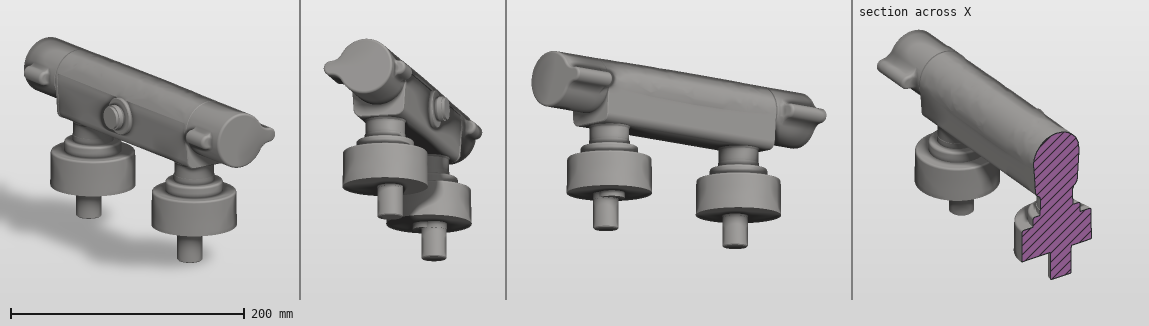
import cadquery as cq
import math

TOTAL_LENGTH = 289.2
TOTAL_DEPTH = 73.53
TOTAL_HEIGHT = 146.6
BODY_LENGTH = 194.6
KNOB_RADIUS = 24.1
BODY_MID_RADIUS = 24.8
BODY_BOTTOM_Z = -33.5
BOTTOM_Z = BODY_MID_RADIUS - TOTAL_HEIGHT
PORT_SPACING = 150.0
SHIELD_RADIUS = 36.7

HALF_LENGTH = TOTAL_LENGTH / 2
HALF_BODY = BODY_LENGTH / 2

SIDE_START_Z = -1.2
SIDE_END_HALF_WIDTH = 21.9
BODY_CORNER_RADIUS = 7.0
BODY_END_CHAMFER = 0.7

PANEL_INSET = 3.0
PANEL_TOP_Z = 7.3
PANEL_DEPTH = 0.6
PANEL_CORNER_RADIUS = 2.0

GAP_WIDTH = 1.0
GAP_DEPTH = 0.8
CORE_OVERLAP = 5.0

LEVER_TIP_Y = TOTAL_DEPTH - SHIELD_RADIUS
LEVER_TIP_RADIUS = 6.2
LEVER_LENGTH = 40.4
LEVER_END_FILLET = 2.5
LEVER_BASE_FILLET = 3.0
KNOB_EDGE = 2.0
SELECT_MARGIN = 0.1
BASE_EDGE_DEPTH = 1.0

BUTTON_X = 120.2
BUTTON_LENGTH = 25.8
BUTTON_RADIUS = 6.2
BUTTON_FRONT_Y = -32.7
BUTTON_END_FILLET = 2.5
BUTTON_BASE_FILLET = 2.0

OUTLET_Z = -8.0
OUTLET_FLANGE_RADIUS = 16.1
OUTLET_FLANGE_CHAMFER = 0.6
OUTLET_FLANGE_Y = -26.6
OUTLET_STEPS = [
    (9.4, -29.1),
    (10.6, -32.9),
    (9.4, -35.4),
]

NECK_RADIUS = 17.0
FLARE_RADIUS = 18.0
FLARE_BOTTOM_Z = -35.2
NECK_RING_RADIUS = 17.5
NECK_RING_TOP_Z = -45.8
COLLAR_RADIUS = 24.7
COLLAR_TOP_Z = -50.9
COLLAR_FILLET = 2.0
SHIELD_TOP_Z = -60.3
SHIELD_BOTTOM_Z = -91.1
SHIELD_TOP_RADIUS = 36.2
SHIELD_FILLET = 1.8
STEM_RADIUS = 10.9
STEM_Y = -4.4
STEM_CHAMFER = 0.8
STEM_COLLAR_RADIUS = 11.2
ECCENTRIC_Y = 2.9
ECCENTRIC_BOTTOM_Z = -95.9
LEFT_STEM_BOTTOM_Z = -118.1
LEFT_STEM_COLLAR_BOTTOM_Z = -92.8
RIGHT_STEM_COLLAR_BOTTOM_Z = -96.6


def x_cylinder(radius, start, length):
    return cq.Workplane("YZ").circle(radius).extrude(length).translate((start, 0, 0))


def z_cylinder(radius, x, y, top, bottom):
    return cq.Workplane("XY", origin=(x, y, bottom)).circle(radius).extrude(top - bottom)


def lower_body(half_length, inset):
    """Prism under the round top with tapered sides, set in by inset, and rounded bottom corners."""
    radius = KNOB_RADIUS - inset
    top_half_width = math.sqrt(radius ** 2 - SIDE_START_Z ** 2)
    bottom_half_width = SIDE_END_HALF_WIDTH - inset
    section = cq.Workplane("YZ", origin=(-half_length, 0, 0)).polyline([
        (top_half_width, SIDE_START_Z),
        (bottom_half_width, BODY_BOTTOM_Z),
        (-bottom_half_width, BODY_BOTTOM_Z),
        (-top_half_width, SIDE_START_Z),
    ]).close().extrude(2 * half_length)
    return section.edges("|X and <Z").fillet(BODY_CORNER_RADIUS)


def make_panel_recess():
    """Volume between the body surface and the sunk panel on the front."""
    half = HALF_BODY - PANEL_INSET
    height = PANEL_TOP_Z - BODY_BOTTOM_Z
    window = (
        cq.Workplane("XZ")
        .center(0, PANEL_TOP_Z - height / 2)
        .rect(2 * half, height)
        .extrude(2 * KNOB_RADIUS)
        .edges("|Y and >Z")
        .fillet(PANEL_CORNER_RADIUS)
    )
    floor = x_cylinder(KNOB_RADIUS - PANEL_DEPTH, -half, 2 * half)
    floor = floor.union(lower_body(half, PANEL_DEPTH))
    return window.cut(floor)


def make_body():
    shoulder_x = HALF_BODY - BODY_END_CHAMFER
    round_top = (
        cq.Workplane("XY")
        .moveTo(-HALF_BODY, 0)
        .lineTo(-HALF_BODY, KNOB_RADIUS - BODY_END_CHAMFER)
        .lineTo(-shoulder_x, KNOB_RADIUS)
        .threePointArc((0, BODY_MID_RADIUS), (shoulder_x, KNOB_RADIUS))
        .lineTo(HALF_BODY, KNOB_RADIUS - BODY_END_CHAMFER)
        .lineTo(HALF_BODY, 0)
        .close()
        .revolve(360, (0, 0, 0), (1, 0, 0))
    )
    base = lower_body(HALF_BODY, 0)
    base = base.faces("<X or >X").edges().chamfer(BODY_END_CHAMFER)
    body = round_top.union(base)
    return body.cut(make_panel_recess())


def make_fin(tip_y, tip_radius, length):
    """Fin along X on the +Y side, starting at x = 0.

    The tip arc runs into the knob circle by concave arcs that are tangent at both ends.
    """
    centre_y = tip_y - tip_radius
    blend = (centre_y ** 2 + tip_radius ** 2 - KNOB_RADIUS ** 2) / (2 * (KNOB_RADIUS - tip_radius))
    blend_z = tip_radius + blend
    angle = math.atan2(blend_z, centre_y)
    start_y = KNOB_RADIUS * math.cos(angle)
    start_z = KNOB_RADIUS * math.sin(angle)
    middle_angle = (angle + math.pi / 2) / 2
    middle_y = centre_y - blend * math.cos(middle_angle)
    middle_z = blend_z - blend * math.sin(middle_angle)
    return (
        cq.Workplane("YZ")
        .lineTo(start_y, start_z)
        .threePointArc((middle_y, middle_z), (centre_y, tip_radius))
        .threePointArc((tip_y, 0), (centre_y, -tip_radius))
        .threePointArc((middle_y, -middle_z), (start_y, -start_z))
        .close()
        .extrude(length)
    )


def end_edges(x):
    """Selects the edges in the plane at x that lie outside the knob circle, on the +Y side."""
    return cq.selectors.BoxSelector(
        (x - SELECT_MARGIN, KNOB_RADIUS, -KNOB_RADIUS),
        (x + SELECT_MARGIN, KNOB_RADIUS * 2, KNOB_RADIUS),
    )


def base_edges(x, side):
    """Selects the edge where a fin end at x meets the knob; side is +1 for back, -1 for front."""
    inner_y = side * (KNOB_RADIUS - BASE_EDGE_DEPTH)
    outer_y = side * (KNOB_RADIUS + SELECT_MARGIN)
    return cq.selectors.BoxSelector(
        (x - SELECT_MARGIN, inner_y, -KNOB_RADIUS),
        (x + SELECT_MARGIN, outer_y, KNOB_RADIUS),
    )


def make_lever():
    lever = make_fin(LEVER_TIP_Y, LEVER_TIP_RADIUS, LEVER_LENGTH)
    lever = lever.edges(end_edges(LEVER_LENGTH)).fillet(LEVER_END_FILLET)
    return lever.translate((-HALF_LENGTH, 0, 0))


def make_button():
    button = make_fin(-BUTTON_FRONT_Y, BUTTON_RADIUS, BUTTON_LENGTH)
    for x in (0, BUTTON_LENGTH):
        button = button.edges(end_edges(x)).fillet(BUTTON_END_FILLET)
    return button.mirror("XZ").translate((-BUTTON_X - BUTTON_LENGTH / 2, 0, 0))


def make_left_knob():
    barrel = x_cylinder(KNOB_RADIUS, -HALF_LENGTH, HALF_LENGTH - HALF_BODY - GAP_WIDTH)
    knob = barrel.union(make_lever())
    knob = knob.faces("<X").edges().fillet(KNOB_EDGE)
    knob = knob.union(make_button())
    knob = knob.edges(base_edges(-HALF_LENGTH + LEVER_LENGTH, 1)).fillet(LEVER_BASE_FILLET)
    for end in (-1, 1):
        button_end = -BUTTON_X + end * BUTTON_LENGTH / 2
        knob = knob.edges(base_edges(button_end, -1)).fillet(BUTTON_BASE_FILLET)
    return knob


def make_gap_core():
    """Core that runs from knob to knob and shows as a narrow neck in the gaps."""
    half = HALF_BODY + GAP_WIDTH + CORE_OVERLAP
    return x_cylinder(KNOB_RADIUS - GAP_DEPTH, -half, 2 * half)


def make_outlet():
    outlet = cq.Workplane("XZ").center(0, OUTLET_Z).circle(OUTLET_FLANGE_RADIUS).extrude(-OUTLET_FLANGE_Y)
    outlet = outlet.faces("<Y").chamfer(OUTLET_FLANGE_CHAMFER)
    back_y = OUTLET_FLANGE_Y
    for radius, front_y in OUTLET_STEPS:
        step = cq.Workplane("XZ", origin=(0, back_y, OUTLET_Z)).circle(radius).extrude(back_y - front_y)
        outlet = outlet.union(step)
        back_y = front_y
    return outlet


def make_connection(x, stem_bottom, stem_collar_bottom):
    neck = z_cylinder(NECK_RADIUS, x, 0, BODY_BOTTOM_Z + BODY_CORNER_RADIUS, SHIELD_TOP_Z)
    ring = z_cylinder(NECK_RING_RADIUS, x, 0, NECK_RING_TOP_Z, SHIELD_TOP_Z)
    collar = z_cylinder(COLLAR_RADIUS, x, 0, COLLAR_TOP_Z, SHIELD_TOP_Z)
    collar = collar.faces(">Z").edges().fillet(COLLAR_FILLET)
    shield = (
        cq.Workplane("XY", origin=(x, 0, SHIELD_BOTTOM_Z))
        .circle(SHIELD_RADIUS)
        .workplane(offset=SHIELD_TOP_Z - SHIELD_BOTTOM_Z)
        .circle(SHIELD_TOP_RADIUS)
        .loft()
        .faces(">Z").edges().fillet(SHIELD_FILLET)
    )
    stem_collar = z_cylinder(STEM_COLLAR_RADIUS, x, STEM_Y, SHIELD_BOTTOM_Z, stem_collar_bottom)
    stem = z_cylinder(STEM_RADIUS, x, STEM_Y, SHIELD_BOTTOM_Z, stem_bottom)
    stem = stem.faces("<Z").chamfer(STEM_CHAMFER)
    flare = (
        cq.Workplane("XY", origin=(x, 0, FLARE_BOTTOM_Z))
        .circle(NECK_RADIUS)
        .workplane(offset=BODY_BOTTOM_Z - FLARE_BOTTOM_Z)
        .circle(FLARE_RADIUS)
        .loft()
    )
    return neck.union(flare).union(ring).union(collar).union(shield).union(stem_collar).union(stem)


left_knob = make_left_knob()
port_x = PORT_SPACING / 2
eccentric = z_cylinder(STEM_COLLAR_RADIUS, port_x, ECCENTRIC_Y, SHIELD_BOTTOM_Z, ECCENTRIC_BOTTOM_Z)
knobs = (
    make_gap_core()
    .cut(make_panel_recess())
    .union(left_knob)
    .union(left_knob.mirror("YZ"))
)
result = (
    make_body()
    .union(knobs)
    .union(make_outlet())
    .union(make_connection(-port_x, LEFT_STEM_BOTTOM_Z, LEFT_STEM_COLLAR_BOTTOM_Z))
    .union(make_connection(port_x, BOTTOM_Z, RIGHT_STEM_COLLAR_BOTTOM_Z))
    .union(eccentric)
)